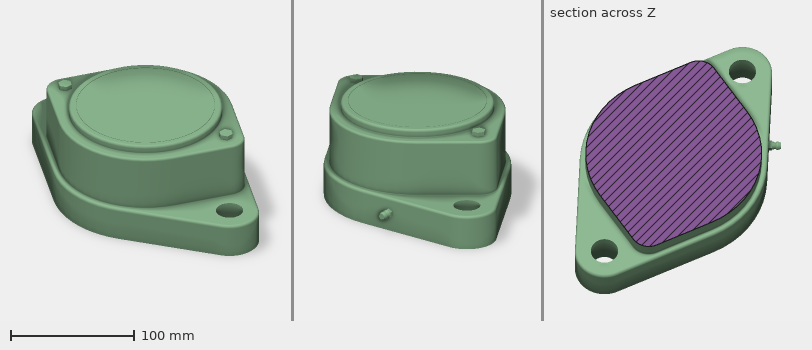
import cadquery as cq
import math

flange_length = 250.0
flange_middle_radius = 76.0
flange_end_radius = 24.0
flange_height = 28.5
flange_edge_fillet = 2.2
mount_hole_diameter = 22.0
mount_hole_offset = flange_length / 2 - flange_end_radius

body_radius = 71.5
body_top = 75.2
body_edge_fillet = 2.0
ear_radius = 15.0
ear_offset = 75.0
ear_angle = 18.0

cover_diameter = 124.2
cover_top = 82.0
cover_edge_fillet = 2.2
groove_diameter = 113.0
groove_width = 0.5
groove_depth = 0.5

foot_fillet = 0.8

bolt_head_corners = 11.5
bolt_head_height = 4.0

nipple_z = 15.2
nipple_shift = 26.0
nipple_root_depth = 2.5
nipple_hex_corners = 8.0
nipple_hex_height = 2.8
nipple_neck_diameter = 5.0
nipple_neck_height = 5.5
nipple_head_diameter = 6.8
nipple_head_start = 6.5
nipple_head_end = 7.8
nipple_tip_diameter = 5.0
nipple_tip_height = 10.0


def flank_lean(middle_radius, lobe_radius, lobe_offset):
    """Angle in radians between a flank of a two-lobed plate and its long axis."""
    return math.asin((middle_radius - lobe_radius) / lobe_offset)


def two_lobed_plate(middle_radius, lobe_radius, lobe_offset, height):
    """Plate whose outline wraps a middle circle and two equal lobes on the X axis."""
    lean = flank_lean(middle_radius, lobe_radius, lobe_offset)
    middle_x = middle_radius * math.sin(lean)
    middle_y = middle_radius * math.cos(lean)
    lobe_x = lobe_offset + lobe_radius * math.sin(lean)
    lobe_y = lobe_radius * math.cos(lean)
    tip_x = lobe_offset + lobe_radius
    return (
        cq.Workplane("XY")
        .moveTo(-middle_x, middle_y)
        .threePointArc((0, middle_radius), (middle_x, middle_y))
        .lineTo(lobe_x, lobe_y)
        .threePointArc((tip_x, 0), (lobe_x, -lobe_y))
        .lineTo(middle_x, -middle_y)
        .threePointArc((0, -middle_radius), (-middle_x, -middle_y))
        .lineTo(-lobe_x, -lobe_y)
        .threePointArc((-tip_x, 0), (-lobe_x, lobe_y))
        .close()
        .extrude(height)
    )


def fillet_foot(solid, half_x, half_y, level):
    """Round the edges at height `level` that lie wholly inside the given half sizes."""
    margin = foot_fillet / 2
    box = cq.selectors.BoxSelector(
        (-half_x, -half_y, level - margin),
        (half_x, half_y, level + margin),
        boundingbox=True,
    )
    return solid.edges(box).fillet(foot_fillet)


def make_flange():
    plate = two_lobed_plate(flange_middle_radius, flange_end_radius, mount_hole_offset, flange_height)
    return plate.faces(">Z").edges().fillet(flange_edge_fillet)


def make_body():
    body = two_lobed_plate(body_radius, ear_radius, ear_offset, body_top)
    body = body.faces(">Z").edges().fillet(body_edge_fillet)
    return body.rotate((0, 0, 0), (0, 0, 1), ear_angle)


def make_cover():
    cover = cq.Workplane("XY").circle(cover_diameter / 2).extrude(cover_top)
    cover = cover.faces(">Z").edges().fillet(cover_edge_fillet)
    groove = (
        cq.Workplane("XY", origin=(0, 0, cover_top - groove_depth))
        .circle(groove_diameter / 2)
        .circle(groove_diameter / 2 - groove_width)
        .extrude(groove_depth)
    )
    return cover.cut(groove)


def make_bolt_head(side):
    """Hexagon head on the ear at +X (side 1) or -X (side -1), with two corners along Y."""
    x = side * ear_offset * math.cos(math.radians(ear_angle))
    y = side * ear_offset * math.sin(math.radians(ear_angle))
    return (
        cq.Workplane("XY", origin=(x, y, body_top))
        .transformed(rotate=(0, 0, 90))
        .polygon(6, bolt_head_corners)
        .extrude(bolt_head_height)
    )


def make_nipple():
    """Nipple standing out along +Y, then turned to stand square on its flank."""
    flank_y = flange_middle_radius
    hexagon = (
        cq.Workplane("XZ", origin=(-nipple_shift, flank_y - nipple_root_depth, nipple_z))
        .transformed(rotate=(0, 0, 90))
        .polygon(6, nipple_hex_corners)
        .extrude(-(nipple_root_depth + nipple_hex_height))
    )
    hex_inner_radius = nipple_hex_corners / 2 * math.cos(math.radians(30))
    head = (
        cq.Workplane("XY", origin=(-nipple_shift, flank_y, nipple_z))
        .lineTo(hex_inner_radius, 0)
        .lineTo(hex_inner_radius, nipple_hex_height)
        .lineTo(nipple_neck_diameter / 2, nipple_neck_height)
        .lineTo(nipple_head_diameter / 2, nipple_head_start)
        .lineTo(nipple_head_diameter / 2, nipple_head_end)
        .lineTo(nipple_tip_diameter / 2, nipple_tip_height)
        .lineTo(0, nipple_tip_height)
        .close()
        .revolve(360, (0, 0, 0), (0, 1, 0))
    )
    lean = flank_lean(flange_middle_radius, flange_end_radius, mount_hole_offset)
    return hexagon.union(head).rotate((0, 0, 0), (0, 0, 1), math.degrees(lean))


def make_mount_holes():
    return (
        cq.Workplane("XY")
        .pushPoints([(-mount_hole_offset, 0), (mount_hole_offset, 0)])
        .circle(mount_hole_diameter / 2)
        .extrude(flange_height)
    )


ear_reach = ear_offset + ear_radius
foot_limit_y = (body_radius + flange_middle_radius - flange_edge_fillet) / 2
cover_foot_limit = body_radius - body_edge_fillet

housing = make_flange().union(make_body())
housing = fillet_foot(housing, ear_reach, foot_limit_y, flange_height)
housing = housing.union(make_cover())
housing = fillet_foot(housing, cover_foot_limit, cover_foot_limit, body_top)
for ear_side in (1, -1):
    housing = housing.union(make_bolt_head(ear_side))
result = housing.union(make_nipple()).cut(make_mount_holes())